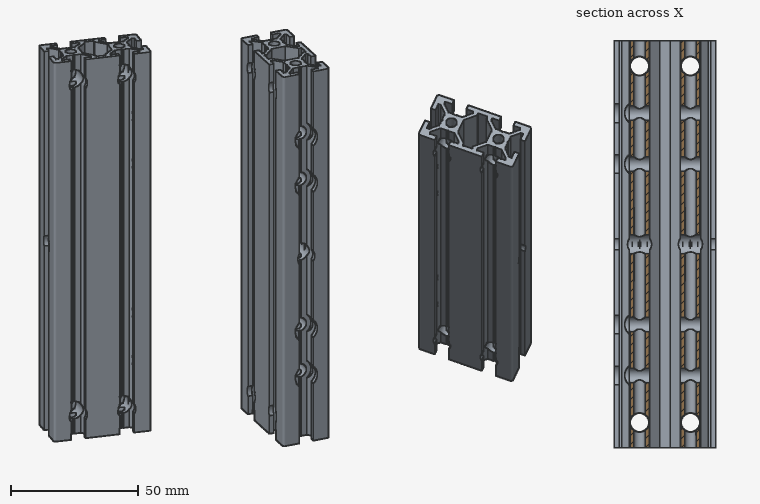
import cadquery as cq

MODULE = 20.0
LENGTH = 160.0
CORNER_RADIUS = 1.0
HALF_MODULE = MODULE / 2
MODULE_CENTRES_Y = (-HALF_MODULE, HALF_MODULE)

SLOT_OPENING = 6.0
LIP_THICKNESS = 2.0
SLOT_INNER_WIDTH = 12.0
CORE_WIDTH = 8.0
CORE_BORE = 4.2
RIB_OFFSET = 1.06
GROOVE_WIDTH = 1.0
GROOVE_DEPTH = 0.25

CORE_HALF = CORE_WIDTH / 2
FLOOR_HALF = CORE_HALF - RIB_OFFSET
LIP_INNER = HALF_MODULE - LIP_THICKNESS

ACCESS_DIAMETER = 7.35
ACCESS_Z = 70.0
MOUNT_DIAMETER = 5.5
MOUNT_PITCH = 20.0
MOUNT_INNER_Z = 31.5
MOUNT_OUTER_Z = MOUNT_INNER_Z + MOUNT_PITCH
HEAD_DIAMETER = 9.5
HEAD_DEPTH = HALF_MODULE - CORE_HALF


def make_bar():
    """Solid rectangular bar with rounded long edges."""
    bar = cq.Workplane("XY").box(MODULE, 2 * MODULE, LENGTH)
    return bar.edges("|Z").fillet(CORNER_RADIUS)


def extrude_outline(points):
    """Full-length prism over a closed outline."""
    return cq.Workplane("XY").polyline(points).close().extrude(LENGTH / 2, both=True)


def make_slot(centre_y, direction):
    """T-slot cutter of one module, opening toward the given angle from +X."""
    opening_half = SLOT_OPENING / 2
    inner_half = SLOT_INNER_WIDTH / 2
    upper_side = [
        (CORE_HALF, GROOVE_WIDTH / 2),
        (CORE_HALF, FLOOR_HALF),
        (inner_half + RIB_OFFSET, inner_half),
        (LIP_INNER, inner_half),
        (LIP_INNER, opening_half),
        (HALF_MODULE, opening_half),
    ]
    lower_side = [(x, -y) for x, y in reversed(upper_side)]
    groove_bottom = [(CORE_HALF - GROOVE_DEPTH, 0)]
    slot = extrude_outline(groove_bottom + upper_side + lower_side)
    return slot.rotate((0, 0, 0), (0, 0, 1), direction).translate((0, centre_y, 0))


def make_central_cavity():
    """Closed cavity between the two cores, bounded by ribs and side walls."""
    core_face_y = HALF_MODULE - CORE_HALF
    ledge_y = HALF_MODULE - LIP_INNER
    ledge_x = LIP_INNER - RIB_OFFSET
    right_side = [
        (FLOOR_HALF, core_face_y),
        (ledge_x, ledge_y),
        (LIP_INNER, ledge_y),
        (LIP_INNER, -ledge_y),
        (ledge_x, -ledge_y),
        (FLOOR_HALF, -core_face_y),
    ]
    left_side = [(-x, y) for x, y in reversed(right_side)]
    return extrude_outline(right_side + left_side)


def make_core_bores():
    """Lengthwise bores through both cores."""
    centres = [(0, y) for y in MODULE_CENTRES_Y]
    return cq.Workplane("XY").pushPoints(centres).circle(CORE_BORE / 2).extrude(LENGTH / 2, both=True)


def make_holes_along_y(diameter, heights):
    """Cross holes through the full depth on the middle plane."""
    centres = [(0, z) for z in heights]
    return cq.Workplane("XZ").pushPoints(centres).circle(diameter / 2).extrude(MODULE, both=True)


def make_head_counterbores(heights):
    """Bolt-head recesses on the +Y side, concentric with the mounting holes."""
    centres = [(0, z) for z in heights]
    outer_face = cq.Workplane("XZ", origin=(0, MODULE, 0))
    return outer_face.pushPoints(centres).circle(HEAD_DIAMETER / 2).extrude(HEAD_DEPTH)


def make_holes_along_x(diameter, heights):
    """Cross holes through the full width at each module centre."""
    centres = [(y, z) for y in MODULE_CENTRES_Y for z in heights]
    return cq.Workplane("YZ").pushPoints(centres).circle(diameter / 2).extrude(HALF_MODULE, both=True)


result = make_bar()
for module_y in MODULE_CENTRES_Y:
    end_direction = 90 if module_y > 0 else -90
    for slot_direction in (0, 180, end_direction):
        result = result.cut(make_slot(module_y, slot_direction))
result = result.cut(make_central_cavity())
result = result.cut(make_core_bores())

mount_heights = (-MOUNT_OUTER_Z, -MOUNT_INNER_Z, MOUNT_INNER_Z, MOUNT_OUTER_Z)
result = result.cut(make_holes_along_y(MOUNT_DIAMETER, mount_heights))
result = result.cut(make_head_counterbores(mount_heights))
result = result.cut(make_holes_along_y(ACCESS_DIAMETER, (0,)))
result = result.cut(make_holes_along_x(ACCESS_DIAMETER, (-ACCESS_Z, ACCESS_Z)))